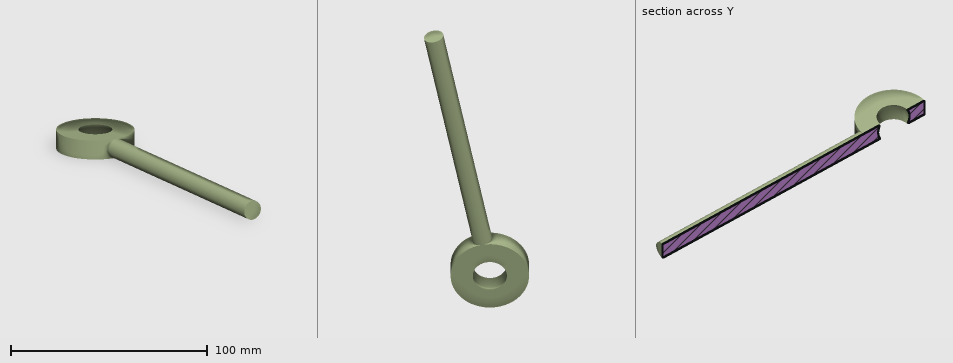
import cadquery as cq

overall_length = 170.0
eye_diameter = 40.0
thickness = 10.0

eye_radius = eye_diameter / 2
rod_radius = thickness / 2
rod_end = overall_length - eye_radius

seat_radius = thickness

eye = cq.Workplane("XY").workplane(offset=-thickness / 2).circle(eye_radius).extrude(thickness)

rod = cq.Workplane("YZ").circle(rod_radius).extrude(rod_end)

ball_seat = cq.Workplane("XY").sphere(seat_radius)

result = eye.union(rod).cut(ball_seat)